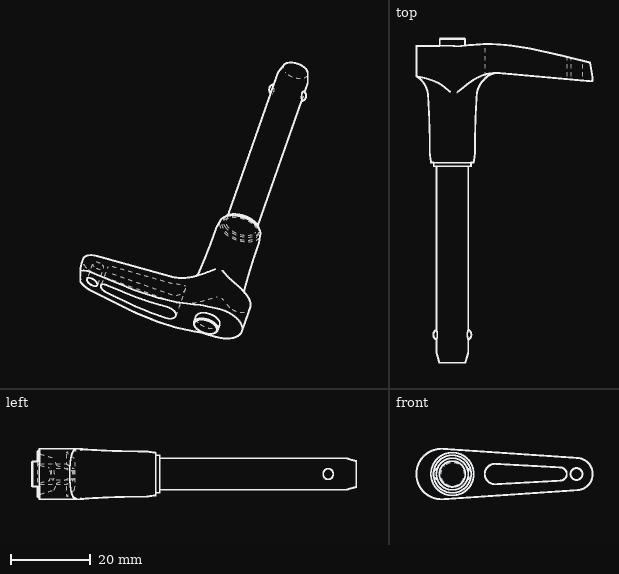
import cadquery as cq
import math

total_length = 81.3

shaft_radius = 4.0
tip_radius = 3.25
tip_taper_length = 2.5
ball_radius = 1.4
ball_offset = 3.4
ball_y = 7.1

collar_radius = 4.7
collar_start = 49.2
grip_start = 50.15
grip_front_radius = 5.4
grip_shoulder_y = 52.4
grip_shoulder_radius = 5.7
grip_waist_radius = 5.8
grip_end_y = 66.6
grip_end_radius = 6.1
flare_radius = 6.0

hub_x = -2.7
hub_radius = 6.3
end_x = 31.05
end_radius = 4.1
slot_inner_x = 10.65
slot_inner_radius = 2.5
slot_outer_x = 27.0
slot_outer_radius = 1.6
eye_radius = 1.5

handle_left = hub_x - hub_radius
end_face_overhang = 0.2
handle_right = end_x + end_radius + end_face_overhang
hub_top_y = 79.3
dip_start_x = 0.0
dip_middle = (1.55, 79.25)
dip_end = (3.4, 79.5)
hump = (8.1, 79.8)
back_middle = (19.9, 78.6)
back_end = (34.5, 75.2)
underside_y = grip_end_y + flare_radius
underside_bend_x = 10.8
handle_bottom_y = 70.4
end_edge_fillet = 0.5

button_radius = 3.2
button_chamfer = 0.25
button_base_y = 73.15


def tapered_slot(x_1, radius_1, x_2, radius_2):
    """Prism along Y over two circles on the X axis and their common tangents."""
    tilt_sine = (radius_1 - radius_2) / (x_2 - x_1)
    tilt_cosine = math.sqrt(1 - tilt_sine**2)

    def tangent_point(x, radius, side):
        return (x + radius * tilt_sine, side * radius * tilt_cosine)

    return (
        cq.Workplane("XZ")
        .moveTo(*tangent_point(x_1, radius_1, 1))
        .lineTo(*tangent_point(x_2, radius_2, 1))
        .threePointArc((x_2 + radius_2, 0), tangent_point(x_2, radius_2, -1))
        .lineTo(*tangent_point(x_1, radius_1, -1))
        .threePointArc((x_1 - radius_1, 0), tangent_point(x_1, radius_1, 1))
        .close()
        .extrude(-total_length)
    )


def revolve_about_shaft(profile):
    return profile.close().revolve(360, (0, 0, 0), (0, 1, 0))


def make_shaft_and_grip():
    waist_y = (grip_shoulder_y + grip_end_y) / 2
    profile = (
        cq.Workplane("XY")
        .lineTo(tip_radius, 0)
        .lineTo(shaft_radius, tip_taper_length)
        .lineTo(shaft_radius, collar_start)
        .lineTo(collar_radius, collar_start)
        .lineTo(collar_radius, grip_start)
        .lineTo(grip_front_radius, grip_start)
        .lineTo(grip_shoulder_radius, grip_shoulder_y)
        .threePointArc((grip_waist_radius, waist_y), (grip_end_radius, grip_end_y))
        .lineTo(0, grip_end_y)
    )
    return revolve_about_shaft(profile)


def make_balls():
    points = [(-ball_offset, ball_y), (ball_offset, ball_y)]
    return cq.Workplane("XY").pushPoints(points).sphere(ball_radius)


def make_flare():
    """Concave neck that spreads from the grip to the underside of the handle."""
    rim_radius = grip_end_radius + flare_radius
    arc_middle = (
        rim_radius - flare_radius * math.sqrt(0.5),
        grip_end_y + flare_radius * math.sqrt(0.5),
    )
    profile = (
        cq.Workplane("XY")
        .moveTo(0, grip_end_y)
        .lineTo(grip_end_radius, grip_end_y)
        .threePointArc(arc_middle, (rim_radius, underside_y))
        .lineTo(0, underside_y)
    )
    return revolve_about_shaft(profile)


def make_bar():
    """Curved side profile of the handle, wider in Z than the handle outline."""
    return (
        cq.Workplane("XY")
        .moveTo(handle_left, underside_y)
        .lineTo(handle_left, hub_top_y)
        .lineTo(dip_start_x, hub_top_y)
        .threePointArc(dip_middle, dip_end)
        .spline([hump, back_middle, back_end], includeCurrent=True)
        .lineTo(handle_right, handle_bottom_y)
        .lineTo(underside_bend_x, underside_y)
        .close()
        .extrude(hub_radius, both=True)
        .edges("|Z and >X")
        .fillet(end_edge_fillet)
        .edges(cq.selectors.NearestToPointSelector((*back_end, 0)))
        .fillet(end_edge_fillet)
    )


def make_handle():
    outline = tapered_slot(hub_x, hub_radius, end_x, end_radius)
    slot = tapered_slot(slot_inner_x, slot_inner_radius, slot_outer_x, slot_outer_radius)
    eye = cq.Workplane("XZ").center(end_x, 0).circle(eye_radius).extrude(-total_length)
    return make_bar().union(make_flare()).intersect(outline).cut(slot).cut(eye)


def make_button():
    return (
        cq.Workplane("XZ", origin=(0, button_base_y, 0))
        .circle(button_radius)
        .extrude(button_base_y - total_length)
        .faces(">Y")
        .chamfer(button_chamfer)
    )


result = make_shaft_and_grip().union(make_balls()).union(make_handle()).union(make_button())